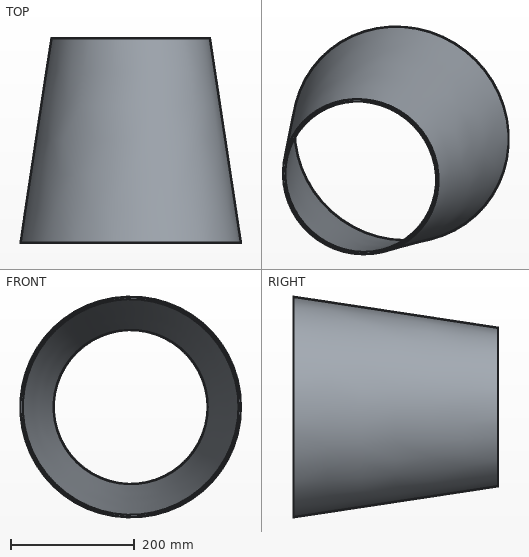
import cadquery as cq

large_diameter = 356.0
small_diameter = 256.0
wall_thickness = 4.0
length = 330.0

large_radius = large_diameter / 2
small_radius = small_diameter / 2


def reducer_shell():
    """Revolve the sloping wall section around the Y axis."""
    wall_section = (
        cq.Workplane("XY")
        .moveTo(large_radius - wall_thickness, 0)
        .lineTo(large_radius, 0)
        .lineTo(small_radius, length)
        .lineTo(small_radius - wall_thickness, length)
        .close()
    )
    return wall_section.revolve(360, (0, 0, 0), (0, 1, 0))


result = reducer_shell()